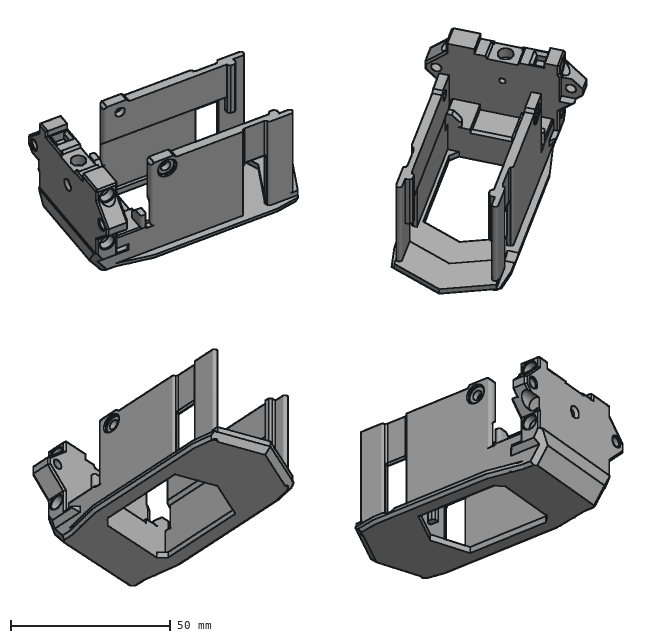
import cadquery as cq
import math


select_gap = 0.1
length = 80.8
width = 50.8
post_top = 38.6
main_top = 37.6

flange_half = 19.1
flange_top = 2.3
flange_bevel = 1.05
flange_start_y = 8.6
flange_wide_y = (21.2, 65.4)
tail_corner = (17.6, 73.6)
tail_top = 4.2
tail_bevel = 2.1
tail_slope = (length - tail_corner[1]) / tail_corner[0]
tail_step_y = 69.2
tail_edge_y = 57.4
opening_half = 13.4
opening_front_half = 10.9

wall_out = 16.65
wall_in = 14.6
wall_front_y = 21.2
wall_rear_y = 72.65
wall_edge_round = 1.0
rail_in = 13.4
rail_bottom = 22.6
rail_rear_y = 65.4
pad_rear_y = 29.2
bead_in = 12.4
bead_rear_y = 68.45
bead_bottom = 17.5
bead_bevel = 0.8
recess_in = 15.5
recess_y = (53.8, 64.2)
recess_round = 0.8
recess_run = 1.7
window_y = (54.8, 63.1)
window_top = 22.3
window_bevel = 0.65
thumb_y = 59.2
thumb_radius = 3.6
thumb_bottom = 1.45

wall_hole_y = 27.0
wall_hole_z = 34.35
wall_hole_dia = 3.4
wall_bore_dia = 6.0
wall_bore_depth = 1.0
bore_bevel = 0.4

block_rear_y = 19.55
block_top = 13.25
block_bevel = 0.5
web_bevel = 1.0
channel_x = (-6.3, 7.3)
channel_depth = 2.4
lip_front_y = 17.8
lip_depth = 1.6
tab_y = (17.45, block_rear_y)
tab_top = 18.2
tab_flat_in = 13.25
tab_in = 10.3
tab_round = 1.0
tab_outer_round = 0.8

plate_front_y = 0.5
plate_rear_y = 8.1
plate_half = 18.5
plate_bevel = 0.6
plate_rear_bevel = 0.65
wing_half = width / 2
wing_z = (23.8, 26.75)
wing_root_z = (17.05, 33.6)
post_inner_left = -13.65
post_inner_right = 9.1
shelf_z = 35.4
saddle_z = 34.35
saddle_half = 4.6
saddle_rear_y = 1.4
saddle_floor_half = 4.9
saddle_rim_half = 5.6
hip_rear_y = 13.1
hip_top = 8.4
waist_z = 6.0

nose_top = 10.8
nose_knee_z = 5.8
nose_half_top = 17.5
nose_half_knee = 14.7
nose_foot_y = 4.1

hole_y = 4.4
wing_hole = (21.6, 25.85)
wing_hole_dia = 3.4
wing_hole_bevel = 0.4
pilot_dia = 2.1
pilot_sink_dia = 4.2
magnet_dia = 4.9
magnet_z = (14.3, 34.1)
magnet_depth = 3.2
magnet_bevel = 0.28
saddle_hole_depth = 4.05
notch_hole_y = 2.0
notch_hole_z = 20.0
pocket_x = (-13.25, -8.6)
pocket_y = (1.3, 7.7)
pocket_taper = 1.05
pocket_depth = 3.2
wing_relief_y = 5.5
wing_relief_z = (21.7, 30.2)


def box(x, y, z):
    """Box from three (low, high) ranges."""
    size = [high - low for low, high in (x, y, z)]
    return cq.Workplane("XY").box(*size, centered=False).translate((x[0], y[0], z[0]))


def prism_z(points, bottom, top):
    return cq.Workplane("XY").workplane(offset=bottom).polyline(points).close().extrude(top - bottom)


def prism_y(points, front, rear):
    """Prism along Y from an (x, z) outline."""
    return cq.Workplane("XZ", origin=(0, front, 0)).polyline(points).close().extrude(front - rear)


def rod(point, direction, diameter, depth):
    return cq.Workplane(cq.Solid.makeCylinder(diameter / 2, depth, cq.Vector(point), cq.Vector(direction)))


def cone(point, direction, start_dia, end_dia, depth):
    solid = cq.Solid.makeCone(start_dia / 2, end_dia / 2, depth, cq.Vector(point), cq.Vector(direction))
    return cq.Workplane(solid)


def rectangle(x, y):
    return [(x[0], y[0]), (x[1], y[0]), (x[1], y[1]), (x[0], y[1])]


def ruled_layer(bottom, top, bottom_section, top_section):
    """Solid with flat sides between two plan sections."""
    layer = cq.Workplane("XY").workplane(offset=bottom).polyline(bottom_section).close()
    return layer.workplane(offset=top - bottom).polyline(top_section).close().loft(ruled=True)


def both_sides(solid):
    return solid.union(solid.mirror("YZ"))


def chevron_y(tip_y, x):
    return tip_y - tail_slope * abs(x)


def make_base():
    right = [
        (wall_out, flange_start_y),
        (flange_half, flange_wide_y[0]),
        (flange_half, flange_wide_y[1]),
        tail_corner,
    ]
    left = [(-x, y) for x, y in reversed(right)]
    base = prism_z(right + [(0, length)] + left, 0, tail_top)
    side_edges = cq.selectors.BoxSelector((wall_out, 0, -0.8), (length, length, 0.8))
    other_edges = cq.selectors.BoxSelector((-length, 0, -0.8), (-wall_out, length, 0.8))
    tail_edges = cq.selectors.BoxSelector((-wall_out, tail_corner[1], -0.8), (wall_out, length, 0.8))
    base = base.edges(side_edges + other_edges).chamfer(flange_bevel)
    base = base.edges(tail_edges).chamfer(tail_bevel)

    ledge = box((wall_out, flange_half + 0.8), (0, length), (flange_top, tail_top + 0.8))
    base = base.cut(both_sides(ledge))

    floor = [
        (-wall_out, 0),
        (wall_out, 0),
        (wall_out, chevron_y(tail_step_y, wall_out)),
        (0, tail_step_y),
        (-wall_out, chevron_y(tail_step_y, wall_out)),
    ]
    base = base.cut(prism_z(floor, flange_top, tail_top + 0.8))

    chamfer_run = opening_half - opening_front_half
    opening = [
        (opening_front_half, block_rear_y),
        (opening_half, block_rear_y + chamfer_run),
        (opening_half, chevron_y(tail_edge_y, opening_half)),
        (0, tail_edge_y),
        (-opening_half, chevron_y(tail_edge_y, opening_half)),
        (-opening_half, block_rear_y + chamfer_run),
        (-opening_front_half, block_rear_y),
    ]
    return base.cut(prism_z(opening, -0.8, tail_top + 0.8))


def make_wall():
    """Right-hand side wall."""
    pad_rise = post_top - main_top
    outline = [
        (wall_front_y, 0),
        (wall_rear_y, 0),
        (wall_rear_y, main_top),
        (pad_rear_y + pad_rise, main_top),
        (pad_rear_y, post_top),
        (wall_front_y + pad_rise, post_top),
        (wall_front_y, main_top),
    ]
    sheet = cq.Workplane("YZ", origin=(wall_in, 0, 0)).polyline(outline).close().extrude(wall_out - wall_in)
    sheet = sheet.edges("|Z and >Y").fillet(wall_edge_round)
    upper = cq.Workplane("YZ", origin=(rail_in, 0, 0)).polyline(outline).close().extrude(wall_out - rail_in)
    rail_section = [
        (wall_in, rail_bottom),
        (rail_in, rail_bottom + wall_in - rail_in),
        (rail_in, post_top),
        (wall_in, post_top),
    ]
    wall = sheet.union(upper.intersect(prism_y(rail_section, 0, rail_rear_y)))
    bead = box((bead_in, wall_in), (rail_rear_y, bead_rear_y), (bead_bottom, main_top))
    wall = wall.union(bead.edges("|Z and <X").chamfer(bead_bevel))
    wall = wall.edges("|Z and <Y").fillet(wall_edge_round)

    outer_point = (wall_out, wall_hole_y, wall_hole_z)
    wall = wall.cut(rod(outer_point, (-1, 0, 0), wall_hole_dia, wall_out))
    wall = wall.cut(rod(outer_point, (-1, 0, 0), wall_bore_dia, wall_bore_depth))
    return wall.cut(cone(outer_point, (-1, 0, 0), wall_bore_dia + 2 * bore_bevel, wall_bore_dia, bore_bevel))


def make_recess():
    """Right-hand outer recess with the window below it."""
    front_y, rear_y = recess_y
    lip_x = wall_out - recess_round
    diagonal = recess_round * math.sqrt(0.5)
    outline = (
        cq.Workplane("XY", origin=(0, 0, flange_top))
        .moveTo(wall_out, front_y)
        .threePointArc((lip_x + diagonal, front_y + diagonal), (lip_x, front_y + recess_round))
        .lineTo(recess_in, front_y + recess_run)
        .lineTo(recess_in, rear_y - recess_run)
        .lineTo(lip_x, rear_y - recess_round)
        .threePointArc((lip_x + diagonal, rear_y - diagonal), (wall_out, rear_y))
        .close()
    )
    window = box((bead_in, wall_out), window_y, (flange_top, window_top))
    lintel_bevel = [
        (recess_in - window_bevel, window_top),
        (recess_in, window_top),
        (recess_in, window_top + window_bevel),
    ]
    recess = outline.extrude(post_top - flange_top).union(window)
    return recess.union(prism_y(lintel_bevel, *window_y))


def make_tab():
    """Right-hand upright tab at the rear of the front block, sloping down inwards."""
    outline = [
        (wall_out, 0),
        (wall_out, tab_top),
        (tab_flat_in, tab_top),
        (tab_in, tab_top - (tab_flat_in - tab_in)),
        (tab_in, 0),
    ]
    tab = prism_y(outline, *tab_y).edges("|Z and <X").fillet(tab_round)
    return tab.edges("|Z and >X").fillet(tab_outer_round)


def make_block():
    block = box((-wall_out, wall_out), (plate_rear_y, block_rear_y), (0, block_top))
    block = block.edges("|Y and >Z").chamfer(block_bevel)
    channel_bottom = block_top - channel_depth
    block = block.cut(box(channel_x, (plate_rear_y, lip_front_y), (channel_bottom, block_top)))
    lip = box(channel_x, (lip_front_y, block_rear_y), (block_top - lip_depth, block_top))
    web = box((wall_in, wall_out), (block_rear_y, wall_front_y + wall_edge_round), (0, block_top))
    web = web.edges("|Y and >X and >Z").chamfer(web_bevel)
    return block.cut(lip).union(both_sides(web)).union(both_sides(make_tab()))


def make_plate():
    corner = plate_bevel
    outline = [
        (plate_half, 0),
        (plate_half, wing_root_z[0]),
        (wing_half, wing_z[0]),
        (wing_half, wing_z[1]),
        (plate_half, wing_root_z[1]),
        (plate_half, main_top - corner),
        (plate_half - corner, main_top),
        (post_inner_right, main_top),
        (post_inner_right, shelf_z),
        (post_inner_left, shelf_z),
        (post_inner_left, main_top),
        (corner - plate_half, main_top),
        (-plate_half, main_top - corner),
        (-plate_half, wing_root_z[1]),
        (-wing_half, wing_z[1]),
        (-wing_half, wing_z[0]),
        (-plate_half, wing_root_z[0]),
        (-plate_half, 0),
    ]
    plate = prism_y(outline, plate_front_y, plate_rear_y)
    inner_x = plate_half - select_gap
    rear_low_y = plate_rear_y - select_gap
    right_rear = cq.selectors.BoxSelector((inner_x, rear_low_y, 0), (length, length, main_top))
    left_rear = cq.selectors.BoxSelector((-length, rear_low_y, 0), (-inner_x, length, main_top))
    plate = plate.edges(right_rear + left_rear).chamfer(plate_rear_bevel)
    plate = plate.faces("<Y").edges().chamfer(plate_bevel)
    nose = box((-plate_half, plate_half), (0, plate_rear_y - plate_rear_bevel), (0, nose_top))
    return plate.union(nose)


def make_hips():
    """Side pads that carry the plate's width back along the front block."""
    run = plate_half - wall_out
    outline = [
        (0, 0),
        (plate_half, 0),
        (plate_half, hip_rear_y - run),
        (wall_out, hip_rear_y),
        (0, hip_rear_y),
    ]
    return both_sides(prism_z(outline, 0, hip_top))


def trim_waist(body):
    """Narrow the front below the hips, with a 45-degree underside."""
    run = plate_half - wall_out
    waist = [
        (wall_out - flange_bevel, 0),
        (wall_out, flange_bevel),
        (wall_out, waist_z),
        (plate_half, waist_z + run),
        (length, waist_z + run),
        (length, 0),
    ]
    return body.cut(both_sides(prism_y(waist, 0, hip_rear_y)))


def nose_section(front_y, front_half):
    """Plan section of the nose: flat front with 45-degree corners."""
    reach = wing_half
    return [
        (-front_half, front_y),
        (front_half, front_y),
        (front_half + reach, front_y + reach),
        (-front_half - reach, front_y + reach),
    ]


def shape_nose(body):
    foot = nose_section(nose_foot_y, nose_half_knee)
    knee = nose_section(0, nose_half_knee)
    brow = nose_section(0, nose_half_top)
    envelope = ruled_layer(0, nose_knee_z, foot, knee).union(ruled_layer(nose_knee_z, nose_top, knee, brow))
    front_y = (-0.8, hip_rear_y)
    low_front = box((-length, length), front_y, (0, nose_top))
    return body.cut(low_front.cut(envelope))


def drill_plate(body):
    front_to_back = (0, 1, 0)
    for side in (-1, 1):
        point = (side * wing_hole[0], plate_front_y, wing_hole[1])
        body = body.cut(rod(point, front_to_back, wing_hole_dia, plate_rear_y))
        rim_dia = wing_hole_dia + 2 * wing_hole_bevel
        body = body.cut(cone(point, front_to_back, rim_dia, wing_hole_dia, wing_hole_bevel))
        for z in magnet_z:
            mouth = (side * plate_half, hole_y, z)
            inward = (-side, 0, 0)
            outward = (side, 0, 0)
            rim_dia = magnet_dia + 2 * magnet_bevel
            body = body.cut(rod(mouth, inward, magnet_dia, magnet_depth))
            body = body.cut(cone(mouth, inward, rim_dia, magnet_dia, magnet_bevel))
            body = body.cut(rod(mouth, outward, rim_dia, magnet_depth))

    pilot = (0, plate_front_y, wing_hole[1])
    body = body.cut(rod(pilot, front_to_back, pilot_dia, plate_rear_y))
    sink_depth = (pilot_sink_dia - pilot_dia) / 2
    body = body.cut(cone(pilot, front_to_back, pilot_sink_dia, pilot_dia, sink_depth))

    body = body.cut(rod((0, hole_y, saddle_z), (0, 0, -1), magnet_dia, saddle_hole_depth))
    notch = (-plate_half, notch_hole_y, notch_hole_z)
    return body.cut(rod(notch, (-1, 0, 0), magnet_dia, wing_half))


def make_saddle():
    """Cut across the top of the plate: a straight front lip, then sloping sides."""
    lip = box((-saddle_half, saddle_half), (plate_front_y, saddle_rear_y), (saddle_z, main_top))
    section = [
        (-saddle_floor_half, saddle_z),
        (saddle_floor_half, saddle_z),
        (saddle_rim_half, shelf_z),
        (-saddle_rim_half, shelf_z),
    ]
    return lip.union(prism_y(section, saddle_rear_y, plate_rear_y))


def make_pocket():
    """Pocket beside the left post: sloping rim on three sides, then straight down."""
    taper = pocket_taper
    throat_x = (pocket_x[0], pocket_x[1] - taper)
    throat_y = (pocket_y[0] + taper, pocket_y[1] - taper)
    throat = rectangle(throat_x, throat_y)
    mouth = ruled_layer(shelf_z - taper, shelf_z, throat, rectangle(pocket_x, pocket_y))
    return mouth.union(box(throat_x, throat_y, (shelf_z - pocket_depth, shelf_z - taper)))


def make_wing_relief():
    """Notch behind the left wing; its ceiling rises toward the rear."""
    run = plate_rear_y - wing_relief_y
    outline = [
        (wing_relief_y, wing_relief_z[0]),
        (plate_rear_y, wing_relief_z[0]),
        (plate_rear_y, wing_relief_z[1] + run),
        (wing_relief_y, wing_relief_z[1]),
    ]
    sketch = cq.Workplane("YZ", origin=(-wing_half, 0, 0)).polyline(outline).close()
    return sketch.extrude(wing_half - plate_half)


def make_thumb_groove():
    axis = (-flange_half - 0.8, thumb_y, thumb_bottom + thumb_radius)
    groove = rod(axis, (1, 0, 0), 2 * thumb_radius, flange_half + 0.8 - recess_in)
    return groove.intersect(box((-length, 0), (0, length), (0, flange_top)))


front = make_plate().union(make_block()).union(make_hips())
front = shape_nose(trim_waist(front))
front = front.cut(make_saddle()).cut(make_pocket()).cut(make_wing_relief())
front = drill_plate(front)
tray = shape_nose(make_base()).union(both_sides(make_wall()))
tray = tray.cut(both_sides(make_recess())).cut(make_thumb_groove())
result = tray.union(front)